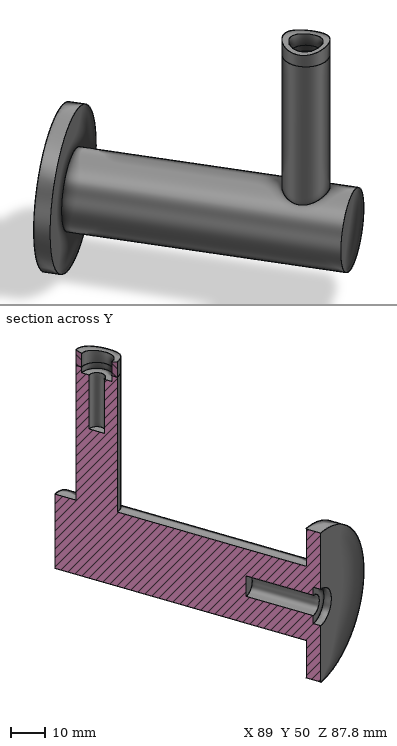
import cadquery as cq

total_length = 89.0
total_height = 87.75
flange_diameter = 50.0
flange_thickness = 5.0
arm_diameter = flange_diameter / 2

counterbore_diameter = 12.0
counterbore_depth = 2.5
mount_hole_diameter = 6.7
mount_hole_depth = 24.9

post_diameter = 14.0
post_x = 75.0
post_top_z = 57.6
post_hole_diameter = 5.0
post_hole_depth = 20.0
socket_diameter = 10.0
socket_depth = 2.0

saddle_peak_z = total_height - flange_diameter / 2
rail_radius = 19.05
post_radius = post_diameter / 2
rail_axis_z = saddle_peak_z + (rail_radius**2 - post_radius**2) ** 0.5


def x_cylinder(diameter, start_x, length):
    """Cylinder on the X axis, starting at start_x."""
    return cq.Workplane("YZ", origin=(start_x, 0, 0)).circle(diameter / 2).extrude(length)


def post_cylinder(diameter, bottom_z, height):
    """Vertical cylinder on the post axis, standing on bottom_z."""
    return cq.Workplane("XY", origin=(post_x, 0, bottom_z)).circle(diameter / 2).extrude(height)


def make_bracket():
    """Flange, arm and post in one piece, with stepped blind holes in the flange and the post."""
    flange = x_cylinder(flange_diameter, 0, flange_thickness)
    arm = x_cylinder(arm_diameter, flange_thickness, total_length - flange_thickness)
    post = post_cylinder(post_diameter, 0, post_top_z)
    counterbore = x_cylinder(counterbore_diameter, 0, counterbore_depth)
    mount_hole = x_cylinder(mount_hole_diameter, 0, mount_hole_depth)
    post_hole = post_cylinder(post_hole_diameter, post_top_z - post_hole_depth, post_hole_depth)
    socket = post_cylinder(socket_diameter, post_top_z - socket_depth, socket_depth)
    body = flange.union(arm).union(post)
    return body.cut(counterbore).cut(mount_hole).cut(post_hole).cut(socket)


def make_saddle():
    """Ring with a concave top that fits the rail."""
    height = saddle_peak_z - post_top_z
    ring = post_cylinder(post_diameter, post_top_z, height)
    bore = post_cylinder(socket_diameter, post_top_z, height)
    rail = (
        cq.Workplane("XZ", origin=(post_x, 0, rail_axis_z))
        .circle(rail_radius)
        .extrude(post_diameter, both=True)
    )
    return ring.cut(bore).cut(rail)


bracket = make_bracket()
saddle = make_saddle()
result = cq.Compound.makeCompound([bracket.val(), saddle.val()])